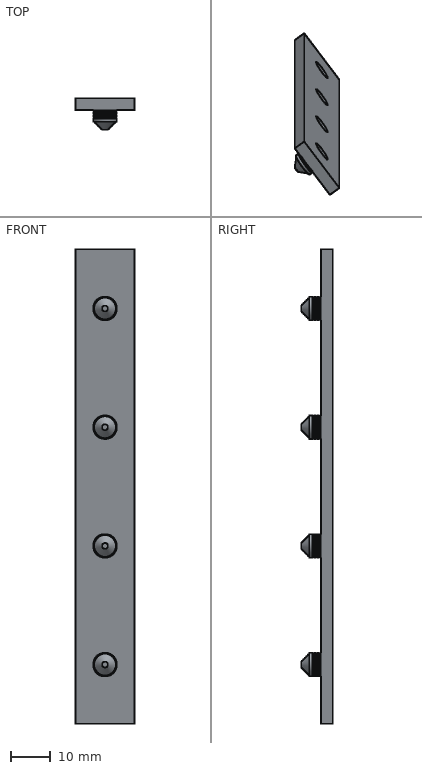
import cadquery as cq

plate_width = 15.0
plate_thickness = 3.0
plate_height = 120.0

stud_count = 4
stud_spacing = plate_height / stud_count
stud_length = 5.0
stud_radius = 6.0 / 2
bore_radius = 5.0 / 2
bore_depth = 5.5

tip_end_radius = 0.75
tip_base_radius = 2.75
tip_length = tip_base_radius - tip_end_radius

groove_count = 3
groove_pitch = 0.75
first_groove_offset = 0.4
groove_width = 0.5
groove_depth = 0.4
groove_root_radius = stud_radius - groove_depth


def make_plate():
    return cq.Workplane("XY").box(
        plate_width, plate_thickness, plate_height
    ).translate((0, -plate_thickness / 2, 0))


def groove_points(middle):
    """Radius and depth of one groove's corners, from the plate side to the tip side."""
    return [
        (stud_radius, middle - groove_width / 2),
        (groove_root_radius, middle),
        (stud_radius, middle + groove_width / 2),
    ]


def make_stud():
    """Revolve the stud's half profile about the Y axis, rooted inside the plate."""
    tip_end = plate_thickness + stud_length
    tip_base = tip_end - tip_length
    root = plate_thickness / 2
    profile = [(0, root), (stud_radius, root)]
    for i in range(groove_count):
        profile += groove_points(plate_thickness + first_groove_offset + i * groove_pitch)
    profile += [
        (stud_radius, tip_base),
        (tip_base_radius, tip_base),
        (tip_end_radius, tip_end),
        (0, tip_end),
    ]
    outline = [(radius, -depth) for radius, depth in profile]
    return cq.Workplane("XY").polyline(outline).close().revolve(360, (0, 0, 0), (0, 1, 0))


def make_bore():
    """Blind hole from the back face, through the plate and into the stud."""
    return cq.Workplane("XZ").circle(bore_radius).extrude(bore_depth)


stud = make_stud()
bore = make_bore()
result = make_plate()
for i in range(stud_count):
    height = (i - (stud_count - 1) / 2) * stud_spacing
    result = result.union(stud.translate((0, 0, height)))
    result = result.cut(bore.translate((0, 0, height)))